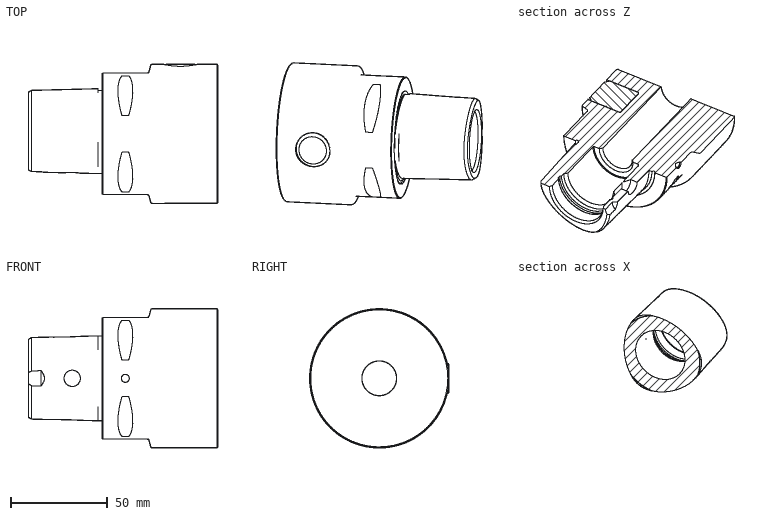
import cadquery as cq
import math


TOTAL_LENGTH = 98.0

SHANK_LENGTH = 38.0
SHANK_WIDTH = 44.0
LOBE_HEIGHT = 1.4
TAPER_RATIO = 20.0
NECK_LENGTH = 2.1
NOSE_LENGTH = 1.7
NOSE_DEPTH = 1.0
OUTLINE_POINTS = 36

RELIEF_RADIUS = 22.4
RELIEF_GROOVE_RADIUS = 0.83

FLANGE_RADIUS = 31.5
FLANGE_CHAMFER = 0.4
HEAD_DIAMETER = 72.0
HEAD_RADIUS = HEAD_DIAMETER / 2
HEAD_START = 63.3
SHOULDER_ANGLE = 15.0
SHOULDER_FILLET = 1.0
HEAD_CHAMFER = 0.6

MOUTH_RADIUS = 16.3
ENTRY_RADIUS = 15.5
MOUTH_CHAMFER_LENGTH = 1.7
CLAMP_GROOVE_START = 7.8
CLAMP_GROOVE_WIDTH = 2.7
CLAMP_GROOVE_DEPTH = 0.7
ENTRY_LENGTH = 12.7
CHAMBER_CONE_LENGTH = 1.4
CHAMBER_RADIUS = 13.8
CHAMBER_END = 39.2
FLOOR_RADIUS = 13.4
THROUGH_MOUTH_RADIUS = 10.3
THROUGH_RADIUS = 8.9

DRILL_TIP_ANGLE = 118.0
KEYWAY_RADIUS = 5.2
KEYWAY_AXIS_Y = -23.0
KEYWAY_LENGTH = 6.6
KEYWAY_TIP_ANGLE = 100.0
SHANK_HOLE_RADIUS = 4.2
SHANK_HOLE_X = 22.6
SHANK_HOLE_BOTTOM = 16.5
DIMPLE_RADIUS = 2.1
DIMPLE_DEPTH = 0.8

GRIPPER_X = 50.1
GRIPPER_COUNT = 4
GRIPPER_FLOOR_RADIUS = 27.9
GRIPPER_FLOOR_WIDTH = 3.6
GRIPPER_WALL_ANGLE = 30.0
GRIPPER_FILLET = 0.5

PLUG_X = 78.6
PLUG_RADIUS = 9.0
PLUG_CHAMFER = 1.8
PLUG_LENGTH = 19.6

CUT_MARGIN = 4.9


def revolve_about_x(points):
    """Turn a closed outline of (x, radius) points about the X axis."""
    return cq.Workplane("XY").polyline(points).close().revolve(360, (0, 0, 0), (1, 0, 0))


def drill(radius, depth, tip_angle=DRILL_TIP_ANGLE):
    """Drill of the given full-diameter depth along +Z, with a conical tip beyond it."""
    tip = radius / math.tan(math.radians(tip_angle / 2))
    outline = [(0, 0), (radius, 0), (radius, depth), (0, depth + tip)]
    return cq.Workplane("XZ").polyline(outline).close().revolve(360, (0, 0, 0), (0, 1, 0))


def drill_from_minus_y(radius, x, start_y, end_y):
    """Drill that runs toward +Y, full diameter from start_y to end_y."""
    cutter = drill(radius, end_y - start_y).rotate((0, 0, 0), (1, 0, 0), -90)
    return cutter.translate((x, start_y, 0))


def shank_section(x, mean_radius):
    """Constant-width three-lobed outline at x, with one lobe on +Y."""
    points = []
    for i in range(OUTLINE_POINTS):
        a = 2 * math.pi * i / OUTLINE_POINTS
        y = mean_radius * math.cos(a) + LOBE_HEIGHT * (2 * math.cos(2 * a) - math.cos(4 * a))
        z = mean_radius * math.sin(a) - LOBE_HEIGHT * (2 * math.sin(2 * a) + math.sin(4 * a))
        points.append(cq.Vector(x, y, z))
    return cq.Wire.assembleEdges([cq.Edge.makeSpline(points, periodic=True)])


def loft_between(first, second):
    return cq.Workplane(obj=cq.Solid.makeLoft([first, second], True))


def make_shank():
    neck_start = SHANK_LENGTH - NECK_LENGTH
    neck_radius = SHANK_WIDTH / 2
    edge_radius = neck_radius - (neck_start - NOSE_LENGTH) / TAPER_RATIO / 2
    face = shank_section(0, edge_radius - NOSE_DEPTH)
    edge = shank_section(NOSE_LENGTH, edge_radius)
    neck_front = shank_section(neck_start, neck_radius)
    neck_back = shank_section(SHANK_LENGTH + RELIEF_GROOVE_RADIUS, neck_radius)

    relief = (
        cq.Workplane("YZ", origin=(neck_start, 0, 0))
        .circle(RELIEF_RADIUS)
        .extrude(NECK_LENGTH + RELIEF_GROOVE_RADIUS)
    )
    neck = loft_between(neck_front, neck_back).intersect(relief)
    return loft_between(face, edge).union(loft_between(edge, neck_front)).union(neck)


def make_flange_and_head():
    shoulder_height = HEAD_RADIUS - FLANGE_RADIUS
    shoulder_start = HEAD_START - shoulder_height * math.tan(math.radians(SHOULDER_ANGLE))
    turned = revolve_about_x([
        (SHANK_LENGTH, 0),
        (SHANK_LENGTH, FLANGE_RADIUS - FLANGE_CHAMFER),
        (SHANK_LENGTH + FLANGE_CHAMFER, FLANGE_RADIUS),
        (shoulder_start, FLANGE_RADIUS),
        (HEAD_START, HEAD_RADIUS),
        (TOTAL_LENGTH - HEAD_CHAMFER, HEAD_RADIUS),
        (TOTAL_LENGTH, HEAD_RADIUS - HEAD_CHAMFER),
        (TOTAL_LENGTH, 0),
    ])
    margin = SHOULDER_FILLET / 2
    shoulder_edges = cq.selectors.BoxSelector(
        (shoulder_start - margin, -HEAD_DIAMETER, -HEAD_DIAMETER),
        (HEAD_START + margin, HEAD_DIAMETER, HEAD_DIAMETER),
    )
    return turned.edges("%CIRCLE").edges(shoulder_edges).fillet(SHOULDER_FILLET)


def make_relief_groove():
    """Half-round groove in the flange face around the shank."""
    return cq.Workplane(obj=cq.Solid.makeTorus(
        RELIEF_RADIUS + RELIEF_GROOVE_RADIUS,
        RELIEF_GROOVE_RADIUS,
        cq.Vector(SHANK_LENGTH, 0, 0),
        cq.Vector(1, 0, 0),
    ))


def make_bore():
    groove_radius = ENTRY_RADIUS + CLAMP_GROOVE_DEPTH
    groove_end = CLAMP_GROOVE_START + CLAMP_GROOVE_WIDTH
    return revolve_about_x([
        (0, 0),
        (0, MOUTH_RADIUS),
        (MOUTH_CHAMFER_LENGTH, ENTRY_RADIUS),
        (CLAMP_GROOVE_START, ENTRY_RADIUS),
        (CLAMP_GROOVE_START + CLAMP_GROOVE_DEPTH, groove_radius),
        (groove_end - CLAMP_GROOVE_DEPTH, groove_radius),
        (groove_end, ENTRY_RADIUS),
        (ENTRY_LENGTH, ENTRY_RADIUS),
        (ENTRY_LENGTH + CHAMBER_CONE_LENGTH, CHAMBER_RADIUS),
        (CHAMBER_END - (CHAMBER_RADIUS - FLOOR_RADIUS), CHAMBER_RADIUS),
        (CHAMBER_END, FLOOR_RADIUS),
        (CHAMBER_END, THROUGH_MOUTH_RADIUS),
        (CHAMBER_END + THROUGH_MOUTH_RADIUS - THROUGH_RADIUS, THROUGH_RADIUS),
        (TOTAL_LENGTH, THROUGH_RADIUS),
        (TOTAL_LENGTH, 0),
    ])


def make_keyway():
    """Round-bottomed notch in the front of the shank, with a conical end."""
    cutter = drill(KEYWAY_RADIUS, KEYWAY_LENGTH, KEYWAY_TIP_ANGLE).rotate((0, 0, 0), (0, 1, 0), 90)
    return cutter.translate((0, KEYWAY_AXIS_Y, 0))


def make_shank_hole():
    outside = -SHANK_WIDTH / 2 - CUT_MARGIN
    return drill_from_minus_y(SHANK_HOLE_RADIUS, SHANK_HOLE_X, outside, -SHANK_HOLE_BOTTOM)


def make_flange_dimple():
    outside = -FLANGE_RADIUS - CUT_MARGIN
    bottom = -FLANGE_RADIUS + DIMPLE_DEPTH
    return drill_from_minus_y(DIMPLE_RADIUS, GRIPPER_X, outside, bottom)


def make_gripper_groove(angle):
    """Straight flat-floored groove across the flange at an angle from +Z about X."""
    height = FLANGE_RADIUS + CUT_MARGIN - GRIPPER_FLOOR_RADIUS
    half_floor = GRIPPER_FLOOR_WIDTH / 2
    half_top = half_floor + height * math.tan(math.radians(GRIPPER_WALL_ANGLE))
    top = GRIPPER_FLOOR_RADIUS + height
    outline = [
        (GRIPPER_X - half_floor, GRIPPER_FLOOR_RADIUS),
        (GRIPPER_X + half_floor, GRIPPER_FLOOR_RADIUS),
        (GRIPPER_X + half_top, top),
        (GRIPPER_X - half_top, top),
    ]
    groove = cq.Workplane("XZ").polyline(outline).close().extrude(FLANGE_RADIUS, both=True)
    groove = groove.faces("<Z").edges("|Y").fillet(GRIPPER_FILLET)
    return groove.rotate((0, 0, 0), (1, 0, 0), angle)


def make_plug():
    """Round plug along Y, chamfered at its outer end, which is level with the head."""
    return make_plug_hole().faces(">Y").edges().chamfer(PLUG_CHAMFER)


def make_plug_hole():
    """Cylinder from the level of the head surface inward, the seat of the plug."""
    return (
        cq.Workplane("XZ", origin=(PLUG_X, HEAD_RADIUS, 0))
        .circle(PLUG_RADIUS)
        .extrude(PLUG_LENGTH)
    )


def make_adapter():
    body = make_flange_and_head().cut(make_relief_groove()).union(make_shank())
    body = body.cut(make_bore())
    body = body.cut(make_keyway()).cut(make_shank_hole()).cut(make_flange_dimple())
    pitch = 360 / GRIPPER_COUNT
    for i in range(GRIPPER_COUNT):
        body = body.cut(make_gripper_groove((i + 0.5) * pitch))
    return body.cut(make_plug_hole())


adapter = make_adapter()
plug = make_plug()

result = cq.Compound.makeCompound([adapter.solids().val(), plug.solids().val()])